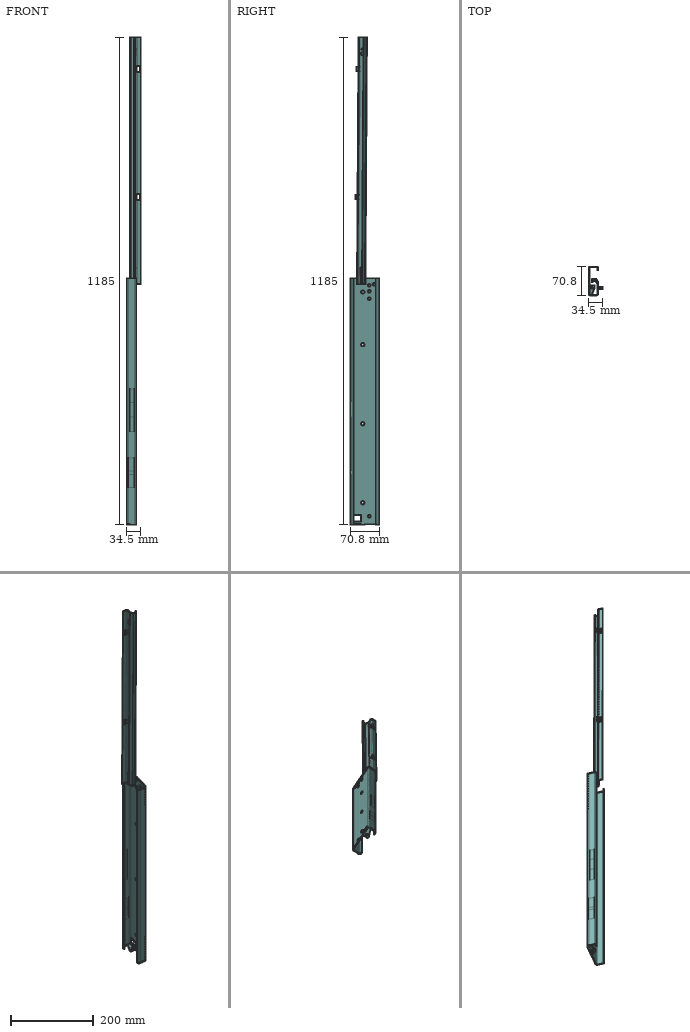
import cadquery as cq
import math

total_height = 1185.01
total_depth = 34.55
total_width = 70.8
member_length = 600.0
x_back = -total_depth / 2
x_front = total_depth / 2
z_bottom = -total_height / 2
housing_top = z_bottom + member_length

sheet = 2.0
pad_rise = 0.5
housing_depth = 23.3
housing_y_max = total_width / 2
housing_y_min = -total_width / 2 + pad_rise
x_lip = x_back + housing_depth
lip_height = 8.5
back_bend_radius = 4.0
front_bend_radius = 4.5

screw_hole_diameter = 7.5
screw_hole_y = -5.0
screw_hole_drops = (7.0, 34.0, 162.0, 354.0, 546.0)
small_hole_diameter = 6.0
small_hole_y = 10.7
small_hole_drops = (18.0, 32.0, 50.0, 579.0)
side_hole_y = 23.0
side_hole_drop = 15.0

window_y_max = -9.5
window_width = 19.0
window_foot = 9.0
window_height = 15.0
tongue_thickness = 3.0
tongue_reach = 15.0
tongue_side = 6.0
tongue_hole_diameter = 4.0
relief_height = 1.5

wide_pad_x = (-13.2, 1.5)
wide_pad_heights = (91.5, 123.5, 131.5, 163.5)
narrow_pad_x = (-9.8, 1.5)
narrow_pad_heights = (227.5, 263.5, 298.5, 330.5)

rail_lean = 0.36
rail_sheet = 2.0
rail_x_back = -9.7
rail_web_x = 6.0
rail_shoulder_x = 0.5
rail_top_y = 5.6
rail_lip_height = 5.0
rail_slope_drop = 8.6
rail_plate_y = -15.7
lip_bend_radius = 3.0
plate_bend_radius = 4.0

tab_drops = (77.0, 388.0)
tab_height = 11.0
tab_reach = 5.0
tab_opening_gap = 1.5
tab_opening_width = 6.5
tab_opening_height = 14.0
rail_hole_y = -6.3
rail_hole_diameter = 6.0
rail_hole_drop = 40.0
pilot_hole_diameter = 2.5
pilot_hole_drop = 29.0
notch_width = 1.0
notch_height = 40.0


def box(x_range, y_range, z_range):
    """A block that fills the given X, Y and Z ranges."""
    corners = list(zip(x_range, y_range, z_range))
    sizes = [high - low for low, high in zip(*corners)]
    return cq.Workplane("XY").box(*sizes, centered=False).translate(corners[0])


def cross_hole(x_range, y, z, diameter):
    """A round cutter along X."""
    x_start, x_end = x_range
    return (
        cq.Workplane("YZ", origin=(x_start, y, z))
        .circle(diameter / 2)
        .extrude(x_end - x_start)
    )



def channel_block(inset):
    """The rounded outline of the channel, shrunk by the inset on all sides."""
    x_range = (x_back + inset, x_lip - inset)
    y_range = (housing_y_min + inset, housing_y_max - inset)
    block = box(x_range, y_range, (z_bottom, housing_top))
    block = block.edges("|Z and <X").fillet(back_bend_radius - inset)
    return block.edges("|Z and >X").fillet(front_bend_radius - inset)


def channel():
    mouth = box(
        (x_lip - 2 * sheet, x_lip + sheet),
        (housing_y_min + lip_height, housing_y_max - lip_height),
        (z_bottom, housing_top),
    )
    return channel_block(0).cut(channel_block(sheet)).cut(mouth)


def web_holes():
    """Cutters for the round holes in the housing web."""
    places = [(screw_hole_y, drop, screw_hole_diameter) for drop in screw_hole_drops]
    places += [(small_hole_y, drop, small_hole_diameter) for drop in small_hole_drops]
    places.append((side_hole_y, side_hole_drop, small_hole_diameter))
    x_range = (x_back - sheet, x_back + 2 * sheet)
    return [cross_hole(x_range, y, housing_top - drop, diameter) for y, drop, diameter in places]


def window():
    window_z = z_bottom + window_foot
    return box(
        (x_back - sheet, x_back + 2 * sheet),
        (window_y_max - window_width, window_y_max),
        (window_z, window_z + window_height),
    )


def edge_relief():
    """Cutter that shortens the lower edge of the web on its +Y side."""
    return box(
        (x_back - sheet, x_back + sheet),
        (0, housing_y_max),
        (z_bottom, z_bottom + relief_height),
    )


def stop_tongue():
    """Plate across the foot of the channel, between its web and its -Y flange."""
    x_root = x_back + sheet / 2
    x_tip = x_back + tongue_reach
    y_root = housing_y_min + sheet / 2
    outline = [
        (x_root, window_y_max),
        (x_tip, window_y_max),
        (x_tip, window_y_max - tongue_side),
        (x_back + tongue_reach / 2, y_root),
        (x_back + back_bend_radius, y_root),
        (x_root, housing_y_min + back_bend_radius),
    ]
    plate = (
        cq.Workplane("XY", origin=(0, 0, z_bottom))
        .polyline(outline).close()
        .extrude(tongue_thickness)
    )
    hole = (
        cq.Workplane("XY", origin=(x_back + tongue_reach / 2, window_y_max - tongue_side, z_bottom))
        .circle(tongue_hole_diameter / 2)
        .extrude(tongue_thickness)
    )
    return plate.cut(hole)


def flange_pad(x_range, heights):
    """A raised pad on the -Y flange with a ramp at each end."""
    x_start, x_end = x_range
    start, crest_start, crest_end, end = [z_bottom + height for height in heights]
    y_crest = housing_y_min - pad_rise
    y_root = housing_y_min + sheet / 2
    side = [
        (y_root, start),
        (housing_y_min, start),
        (y_crest, crest_start),
        (y_crest, crest_end),
        (housing_y_min, end),
        (y_root, end),
    ]
    return (
        cq.Workplane("YZ", origin=(x_start, 0, 0))
        .polyline(side).close()
        .extrude(x_end - x_start)
    )


def make_housing():
    body = channel()
    for cutter in [*web_holes(), window(), edge_relief()]:
        body = body.cut(cutter)
    body = body.union(stop_tongue())
    body = body.union(flange_pad(wide_pad_x, wide_pad_heights))
    return body.union(flange_pad(narrow_pad_x, narrow_pad_heights))



def sloped_corner_shift(run, drop):
    """How far the mitre of a bend between a straight and a sloped stretch moves along the straight."""
    return rail_sheet * math.tan(math.atan2(drop, run) / 2)


def rail_profile(rail_bottom):
    """The Z section: lip, top flange, slope, web and foot plate."""
    slope_run = rail_web_x - rail_shoulder_x
    y_slope_end = rail_top_y - rail_slope_drop
    y_plate = rail_plate_y + rail_sheet
    x_shoulder_inside = rail_shoulder_x - sloped_corner_shift(slope_run, rail_slope_drop)
    y_slope_inside = y_slope_end - sloped_corner_shift(rail_slope_drop, slope_run)
    x_web_inside = rail_web_x - rail_sheet
    x_lip_inside = rail_x_back + rail_sheet
    y_lip = rail_top_y - rail_lip_height
    outline = [
        (rail_x_back, y_lip),
        (rail_x_back, rail_top_y),
        (rail_shoulder_x, rail_top_y),
        (rail_web_x, y_slope_end),
        (rail_web_x, y_plate),
        (x_front, y_plate),
        (x_front, rail_plate_y),
        (x_web_inside, rail_plate_y),
        (x_web_inside, y_slope_inside),
        (x_shoulder_inside, rail_top_y - rail_sheet),
        (x_lip_inside, rail_top_y - rail_sheet),
        (x_lip_inside, y_lip),
    ]
    bends = [
        (rail_x_back, rail_top_y, lip_bend_radius),
        (x_lip_inside, rail_top_y - rail_sheet, lip_bend_radius - rail_sheet),
        (x_web_inside, rail_plate_y, plate_bend_radius),
        (rail_web_x, y_plate, plate_bend_radius - rail_sheet),
    ]
    body = (
        cq.Workplane("XY", origin=(0, 0, rail_bottom))
        .polyline(outline).close()
        .extrude(member_length)
    )
    z_middle = rail_bottom + member_length / 2
    for x, y, radius in bends:
        body = body.edges(cq.selectors.NearestToPointSelector((x, y, z_middle))).fillet(radius)
    return body


def make_rail():
    rail_top = total_height / 2
    rail_bottom = rail_top - member_length
    body = rail_profile(rail_bottom)
    web_range = (rail_web_x - rail_sheet, rail_web_x)
    cut_range = (rail_web_x - 2 * rail_sheet, rail_web_x + rail_sheet)

    for drop in tab_drops:
        z_middle = rail_top - drop
        opening_z = (z_middle - tab_opening_height / 2, z_middle + tab_opening_height / 2)
        opening_y = (rail_plate_y - rail_sheet, rail_plate_y + 2 * rail_sheet)
        x_opening = rail_web_x + tab_opening_gap
        opening_x = (x_opening, x_opening + tab_opening_width)
        body = body.cut(box(opening_x, opening_y, opening_z))
        tab_z = (z_middle - tab_height / 2, z_middle + tab_height / 2)
        tab_y = (rail_plate_y - tab_reach, rail_plate_y + plate_bend_radius)
        body = body.union(box(web_range, tab_y, tab_z))

    body = body.cut(cross_hole(cut_range, rail_hole_y, rail_top - rail_hole_drop, rail_hole_diameter))
    body = body.cut(cross_hole(cut_range, rail_hole_y, rail_top - pilot_hole_drop, pilot_hole_diameter))
    notch_y = (rail_hole_y - notch_width / 2, rail_hole_y + notch_width / 2)
    body = body.cut(box(cut_range, notch_y, (rail_bottom, rail_bottom + notch_height)))

    return body.rotate((0, rail_plate_y, rail_top), (1, rail_plate_y, rail_top), -rail_lean)


housing = make_housing()
rail = make_rail()
result = cq.Compound.makeCompound([housing.val(), rail.val()])